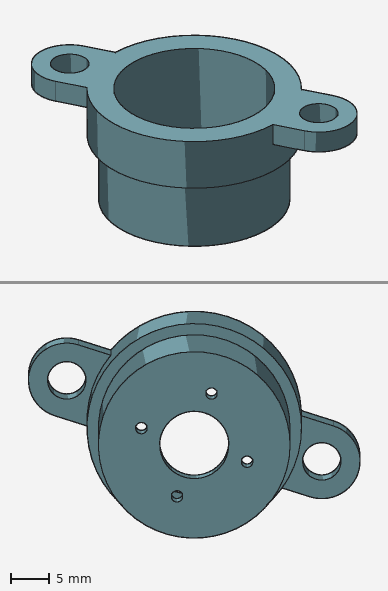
import cadquery as cq

total_height = 16.6
flange_height = 7.0
lug_thickness = 3.0
floor_thickness = 2.0

body_diameter = 25.0
flange_diameter = 28.0
bore_diameter = 21.0

overall_length = 45.0
lug_width = 10.0
lug_hole_diameter = 5.0
lug_hole_spacing = overall_length - lug_width

center_hole_diameter = 9.0
screw_hole_diameter = 1.5
screw_circle_radius = 7.25
screw_hole_count = 4


def cylinder(diameter, bottom, top):
    """Upright cylinder on the Z axis between two heights."""
    return cq.Workplane("XY").workplane(offset=bottom).circle(diameter / 2).extrude(top - bottom)


def make_outer_shape():
    """Stepped round body with a lug on each side, flush with the top face."""
    body = cylinder(body_diameter, 0, total_height)
    flange = cylinder(flange_diameter, total_height - flange_height, total_height)
    lugs = (
        cq.Workplane("XY")
        .workplane(offset=total_height - lug_thickness)
        .slot2D(overall_length, lug_width)
        .extrude(lug_thickness)
    )
    return body.union(flange).union(lugs)


def make_lug_holes():
    """Through holes concentric with the rounded lug ends."""
    return (
        cq.Workplane("XY")
        .rarray(lug_hole_spacing, 1, 2, 1)
        .circle(lug_hole_diameter / 2)
        .extrude(total_height)
    )


def make_screw_holes():
    """Ring of small holes through the cup floor."""
    return (
        cq.Workplane("XY")
        .polarArray(screw_circle_radius, 0, 360, screw_hole_count)
        .circle(screw_hole_diameter / 2)
        .extrude(floor_thickness)
    )


bore = cylinder(bore_diameter, floor_thickness, total_height)
center_hole = cylinder(center_hole_diameter, 0, floor_thickness)

result = (
    make_outer_shape()
    .cut(bore)
    .cut(center_hole)
    .cut(make_screw_holes())
    .cut(make_lug_holes())
)